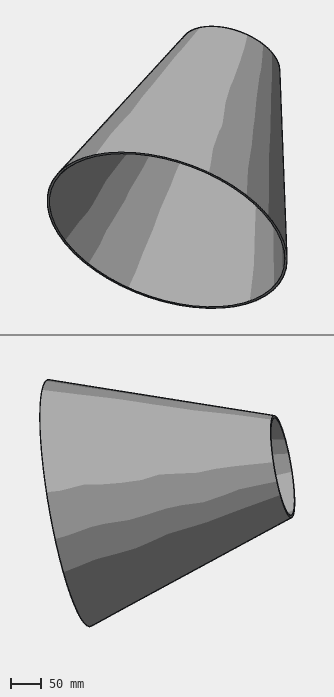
import cadquery as cq

length = 356.0
large_diameter = 406.5
small_diameter = 168.2
wall = 4.0

large_radius = large_diameter / 2
small_radius = small_diameter / 2

wall_section = (
    cq.Workplane("XY")
    .moveTo(large_radius - wall, 0)
    .lineTo(large_radius, 0)
    .lineTo(small_radius, length)
    .lineTo(small_radius - wall, length)
    .close()
)

result = wall_section.revolve(360, (0, 0, 0), (0, 1, 0))